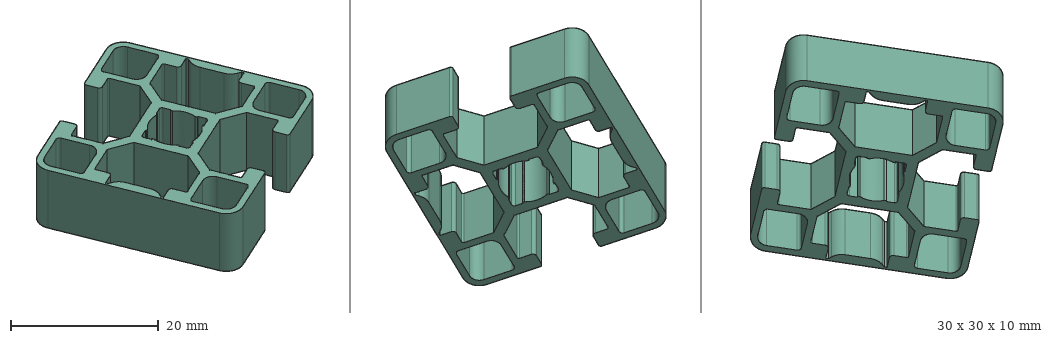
import cadquery as cq

side = 30
length = 10.0
half_side = side / 2
outer_radius = 2.5
skin = 1.0

slot_floor = 5.0
slot_half_width = 6.75
lip_inner_face = 12.45
mouth_half_width = 4.23
shoulder = 7.8
lip_inner_radius = 0.5
slot_corner_radius = 0.25
lip_outer_radius = 0.35
floor_half_width = slot_half_width - (shoulder - slot_floor)

groove_floor = 14.65
rib_face = 13.55
rib_half_width = 3.87
rib_blend_radius = 2.5

chamber_inner = 7.8
chamber_outer = half_side - skin
chamber_large_radius = outer_radius - skin
chamber_small_radius = 0.5

bore_radius = 3.72
bore_half_square = 3.33
pocket_inner = 1.98
pocket_outer = 3.48
pocket_radius = 0.4

QUARTER_TURNS = (0, 90, 180, 270)


def box(x_min, x_max, y_min, y_max):
    """Full-length block between the given X and Y limits."""
    return (
        cq.Workplane("XY")
        .center((x_min + x_max) / 2, (y_min + y_max) / 2)
        .rect(x_max - x_min, y_max - y_min)
        .extrude(length)
    )


def turned(body, angle):
    """Copy of a body turned about the profile axis."""
    return body.rotate((0, 0, 0), (0, 0, 1), angle)


def mirrored_outline(right_points):
    """Prism whose outline is the given right half plus its mirror image in X."""
    left_points = [(-x, y) for x, y in reversed(right_points)]
    return cq.Workplane("XY").polyline(right_points + left_points).close().extrude(length)


def at_points(points):
    """Selector for the lengthwise edges that stand at the given points."""
    reach = 0.003
    boxes = [
        cq.selectors.BoxSelector((x - reach, y - reach, 0), (x + reach, y + reach, length))
        for x, y in points
    ]
    selector = boxes[0]
    for other in boxes[1:]:
        selector = selector + other
    return selector


def slot(mouth_end):
    """Undercut slot toward +Y, with its mouth running out to mouth_end."""
    body = mirrored_outline([
        (floor_half_width, slot_floor),
        (slot_half_width, shoulder),
        (slot_half_width, lip_inner_face),
        (mouth_half_width, lip_inner_face),
        (mouth_half_width, mouth_end),
    ])
    lip_corners = [(x, lip_inner_face) for x in (-mouth_half_width, mouth_half_width)]
    body = body.edges(at_points(lip_corners)).fillet(lip_inner_radius)
    deep_corners = [(x, lip_inner_face) for x in (-slot_half_width, slot_half_width)]
    return body.edges(at_points(deep_corners)).fillet(slot_corner_radius)


def closing_rib():
    """Flat-topped rib with 45 degree flanks on the inside of the closing skin."""
    top_half_width = rib_half_width - (groove_floor - rib_face)
    body = mirrored_outline([(top_half_width, rib_face), (rib_half_width, groove_floor)])
    top_corners = [(x, rib_face) for x in (-top_half_width, top_half_width)]
    return body.edges(at_points(top_corners)).fillet(rib_blend_radius)


def chamber():
    """Corner chamber in the +X +Y quadrant."""
    inner, outer = chamber_inner, chamber_outer
    body = box(inner, outer, inner, outer)
    body = body.edges(at_points([(inner, inner), (outer, outer)])).fillet(chamber_large_radius)
    return body.edges(at_points([(inner, outer), (outer, inner)])).fillet(chamber_small_radius)


def bore():
    """Round bore merged with a square and four corner pockets."""
    body = cq.Workplane("XY").circle(bore_radius).extrude(length)
    body = body.union(box(-bore_half_square, bore_half_square, -bore_half_square, bore_half_square))
    pocket = box(pocket_inner, pocket_outer, pocket_inner, pocket_outer)
    pocket = pocket.edges(at_points([(pocket_outer, pocket_outer)])).fillet(pocket_radius)
    for angle in QUARTER_TURNS:
        body = body.union(turned(pocket, angle))
    return body


profile = cq.Workplane("XY").rect(side, side).extrude(length).edges("|Z").fillet(outer_radius)
profile = profile.cut(bore())

for angle in QUARTER_TURNS:
    profile = profile.cut(turned(chamber(), angle))

closed_slot = slot(groove_floor).cut(closing_rib())
for angle in (0, 180):
    profile = profile.cut(turned(closed_slot, angle))

open_slot = slot(half_side)
for angle in (90, 270):
    profile = profile.cut(turned(open_slot, angle))

mouth_corners = [(x, y) for x in (-half_side, half_side) for y in (-mouth_half_width, mouth_half_width)]
result = profile.edges(at_points(mouth_corners)).fillet(lip_outer_radius)